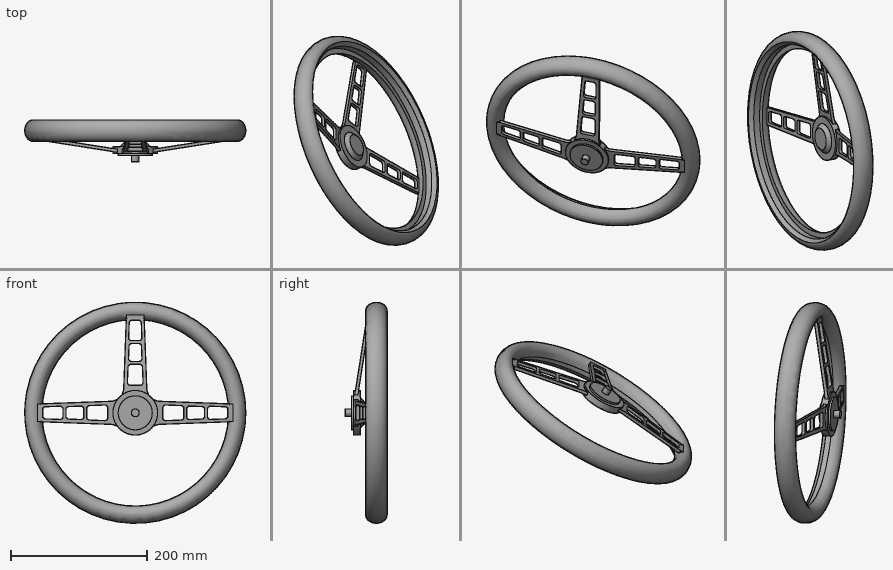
import cadquery as cq


wheel_radius = 162.5
grip_width = 25.7
grip_depth = 32.0
overall_depth = 61.7
grip_radius = wheel_radius - grip_width / 2

recess_wall_radius = 144.5
recess_wall_back_y = 10.0
cut_clearance = 3.2

shaft_tip_y = grip_depth / 2 - overall_depth
shaft_radius = 5.7
flange_radius = 25.0
flange_front_y = -36.7
disc_radius = 32.8
disc_front_y = -33.8
disc_back_y = -23.5
boss_base_radius = 22.0
boss_height = 6.0
boss_slope_angle = 45

spoke_angles = (-90, 0, 90)
spoke_thickness = 5.0
root_radius = 22.7
shoulder_radius = 139.0
tip_radius = 143.5
root_front_y = -32.5
tip_front_y = -14.3
flare_half_width = 19.8
flare_start = 26.0
flare_end = 33.5
flare_blend = 9.7
root_half_width = 17.2
shoulder_half_width = 13.3
tab_half_width = 12.7

windows = (
    (40.5, 71.2, 5.5),
    (75.7, 101.7, 6.0),
    (106.3, 135.8, 5.0),
)
window_corner = 4.0


def disc(radius, front_y, back_y):
    """Cylinder on the wheel axis between two Y positions."""
    return cq.Workplane("XZ", origin=(0, back_y, 0)).circle(radius).extrude(back_y - front_y)


def edge_half_width(radius):
    """Half width of the tapered spoke at a distance from the wheel axis."""
    taper = (root_half_width - shoulder_half_width) / (shoulder_radius - flare_end)
    return root_half_width - taper * (radius - flare_end)


def make_grip():
    ring = (
        cq.Workplane("XY")
        .center(grip_radius, 0)
        .ellipse(grip_width / 2, grip_depth / 2)
        .revolve(360, (-grip_radius, 0), (-grip_radius, 1))
    )
    inner_radius = wheel_radius - grip_width
    clear_radius = inner_radius - cut_clearance
    clear_back_y = grip_depth / 2 + cut_clearance
    recess = (
        cq.Workplane("XY")
        .polyline([
            (clear_radius, 0),
            (recess_wall_radius, 0),
            (recess_wall_radius, recess_wall_back_y),
            (grip_radius, grip_depth / 2),
            (grip_radius, clear_back_y),
            (clear_radius, clear_back_y),
        ])
        .close()
        .revolve(360, (0, 0), (0, 1))
    )
    return ring.cut(recess)


def make_hub():
    boss = (
        cq.Workplane("XZ", origin=(0, disc_back_y, 0))
        .circle(boss_base_radius)
        .extrude(-boss_height, taper=boss_slope_angle)
    )
    return (
        disc(disc_radius, disc_front_y, disc_back_y)
        .union(disc(flange_radius, flange_front_y, disc_front_y))
        .union(disc(shaft_radius, shaft_tip_y, flange_front_y))
        .union(boss)
    )


def make_window(inner, outer, border):
    inner_half = edge_half_width(inner) - border
    outer_half = edge_half_width(outer) - border
    return (
        cq.Workplane("XZ")
        .polyline([(-inner_half, inner), (inner_half, inner), (outer_half, outer), (-outer_half, outer)])
        .close()
        .extrude(-disc_front_y)
        .edges("|Y")
        .fillet(window_corner)
    )


def make_spoke():
    """The +Z spoke: a sloping strip trimmed to the tapered outline, with its windows."""
    strip = (
        cq.Workplane("YZ")
        .polyline([
            (root_front_y, root_radius),
            (tip_front_y, shoulder_radius),
            (tip_front_y, tip_radius),
            (tip_front_y + spoke_thickness, tip_radius),
            (tip_front_y + spoke_thickness, shoulder_radius),
            (root_front_y + spoke_thickness, root_radius),
        ])
        .close()
        .extrude(flare_half_width, both=True)
    )
    half_outline = (
        cq.Workplane("XZ")
        .moveTo(0, root_radius)
        .lineTo(flare_half_width, root_radius)
        .lineTo(flare_half_width, flare_start)
        .lineTo(root_half_width, flare_end)
        .lineTo(shoulder_half_width, shoulder_radius)
        .lineTo(tab_half_width, shoulder_radius)
        .lineTo(tab_half_width, tip_radius)
        .lineTo(0, tip_radius)
        .close()
        .extrude(-disc_front_y)
    )
    half_outline = half_outline.edges(
        cq.selectors.NearestToPointSelector((root_half_width, disc_front_y / 2, flare_end))
    ).fillet(flare_blend)
    spoke = strip.intersect(half_outline.union(half_outline.mirror("YZ")))
    for inner, outer, border in windows:
        spoke = spoke.cut(make_window(inner, outer, border))
    return spoke


result = make_grip().union(make_hub())
spoke = make_spoke()
for angle in spoke_angles:
    result = result.union(spoke.rotate((0, 0, 0), (0, 1, 0), angle))